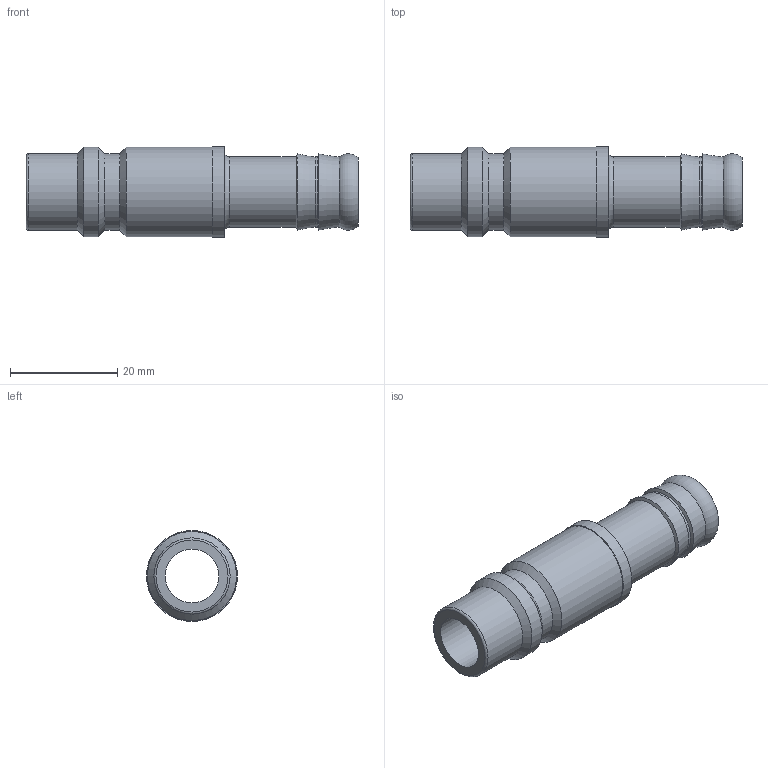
import cadquery as cq
import math

total_length = 62.0
bore_diameter = 10.0

neck_radius = 14.25 / 2
body_radius = 16.65 / 2
bevel_length = body_radius - neck_radius
nose_rounding = 0.4
ring_start = 9.6
ring_width = 5.1
groove_width = 2.8
body_start = ring_start + ring_width + groove_width

collar_radius = 17.0 / 2
collar_end = 37.0
collar_width = 2.25
collar_start = collar_end - collar_width

shank_radius = 13.1 / 2
barb_radius = 14.25 / 2
root_fillet = 1.0
barb_spans = ((50.45, 54.0), (54.45, 58.5))
barb_back_rake = 0.25
barb_sag = 0.08
bead_start = barb_spans[-1][1]
bead_crest = 60.1
bead_radius = 14.25 / 2
end_radius = 6.4


def ring(start, end, radius):
    """Plain cylinder along X between two stations."""
    return cq.Workplane("YZ", origin=(start, 0, 0)).circle(radius).extrude(end - start)


def revolve_profile(profile):
    """Close an outline (axial position, radius) and turn it around the X axis."""
    return profile.close().revolve(360, (0, 0, 0), (1, 0, 0))


def make_neck():
    return ring(0, body_start + bevel_length, neck_radius).faces("<X").edges().fillet(nose_rounding)


def make_locking_ring():
    return ring(ring_start, ring_start + ring_width, body_radius).edges().chamfer(bevel_length)


def make_body():
    return ring(body_start, collar_start, body_radius).faces("<X").edges().chamfer(bevel_length)


def make_root_fillet():
    """Hollow transition from the collar face down to the shank."""
    end = collar_end + root_fillet
    arc_inset = root_fillet * (1 - math.cos(math.radians(45)))
    middle = (collar_end + arc_inset, shank_radius + arc_inset)
    profile = (
        cq.Workplane("XY")
        .moveTo(collar_end, 0)
        .lineTo(collar_end, shank_radius + root_fillet)
        .threePointArc(middle, (end, shank_radius))
        .lineTo(end, 0)
    )
    return revolve_profile(profile)


def make_barb(start, end):
    """Steep-backed barb whose hollow flank runs down to the shank."""
    crest = start + barb_back_rake
    middle = ((crest + end) / 2, (barb_radius + shank_radius) / 2 - barb_sag)
    profile = (
        cq.Workplane("XY")
        .moveTo(start, 0)
        .lineTo(start, shank_radius)
        .lineTo(crest, barb_radius)
        .threePointArc(middle, (end, shank_radius))
        .lineTo(end, 0)
    )
    return revolve_profile(profile)


def make_bead():
    """Rounded bead that closes the hose end."""
    profile = (
        cq.Workplane("XY")
        .moveTo(bead_start, 0)
        .lineTo(bead_start, shank_radius)
        .threePointArc((bead_crest, bead_radius), (total_length, end_radius))
        .lineTo(total_length, 0)
    )
    return revolve_profile(profile)


result = make_neck().union(make_locking_ring()).union(make_body())
result = result.union(ring(collar_start, collar_end, collar_radius))
result = result.union(ring(collar_end, bead_start, shank_radius)).union(make_root_fillet())
for back, toe in barb_spans:
    result = result.union(make_barb(back, toe))
result = result.union(make_bead())
result = result.cut(ring(0, total_length, bore_diameter / 2))